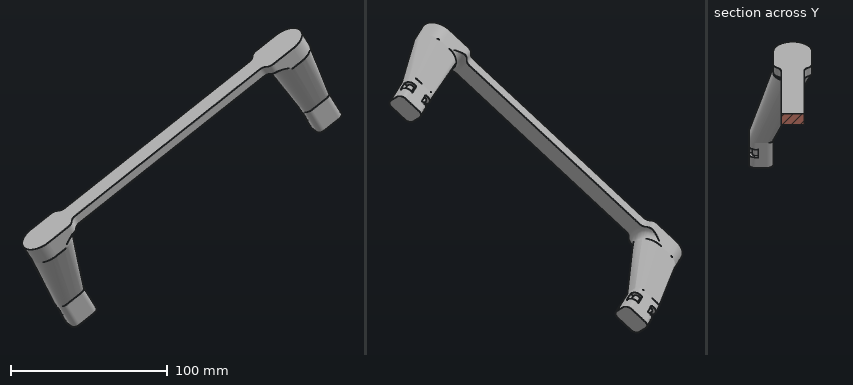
import cadquery as cq
import math

TILT = 30.0

LENGTH = 227.5
GRIP_WIDTH = 14.8
GRIP_THICKNESS = 6.3
HEAD_WIDTH = 25.0
SHOULDER_START = 29.0
NECK_ANGLE = 60.0

PAD_LENGTH = 31.3
PAD_BOTTOM = 11.8
PAD_FILLET = 5.5

TOTAL_WIDTH = 40.5
TOTAL_HEIGHT = 80.1
FOOT_WIDTH = 15.7
FOOT_LENGTH = 20.2
FOOT_HEIGHT = 18.3
FOOT_INSET = 2.4
FOOT_RADIUS = 4.2

GROOVE_HEIGHT = 5.9
GROOVE_DROP = 4.7
GROOVE_DEPTH = 2.4
GROOVE_REACH = 5.9

end_y = LENGTH / 2
head_radius = HEAD_WIDTH / 2
grip_half = GRIP_WIDTH / 2
pad_y = end_y - PAD_LENGTH / 2
foot_x = head_radius - TOTAL_WIDTH + FOOT_WIDTH / 2
foot_y = end_y - FOOT_INSET - FOOT_LENGTH / 2
foot_top = FOOT_HEIGHT - TOTAL_HEIGHT


def outline_prism():
    """Prism of the whole plate outline, with S-shaped necks between heads and grip."""
    sweep = math.radians(NECK_ANGLE)
    neck_radius = (head_radius - grip_half) / (2 * (1 - math.cos(sweep)))
    shoulder_y = end_y - SHOULDER_START
    arc_span = neck_radius * math.sin(sweep)
    mid_span = neck_radius * math.sin(sweep / 2)
    mid_drop = neck_radius * (1 - math.cos(sweep / 2))
    shoulder = (head_radius, shoulder_y)
    convex_mid = (head_radius - mid_drop, shoulder_y - mid_span)
    inflection = ((head_radius + grip_half) / 2, shoulder_y - arc_span)
    grip_start = (grip_half, shoulder_y - 2 * arc_span)
    concave_mid = (grip_half + mid_drop, grip_start[1] + mid_span)

    quarter = (
        cq.Workplane("XY")
        .moveTo(0, 0)
        .lineTo(grip_half, 0)
        .lineTo(*grip_start)
        .threePointArc(concave_mid, inflection)
        .threePointArc(convex_mid, shoulder)
        .lineTo(head_radius, end_y - head_radius)
        .radiusArc((0, end_y), -head_radius)
        .close()
        .extrude(-PAD_BOTTOM)
    )
    half = quarter.union(quarter.mirror("YZ"))
    return half.union(half.mirror("XZ")).clean()


def padded_plate(outline):
    """Plate with oval pads blended into its underside, trimmed to the outline."""
    slab = cq.Workplane("XY").rect(2 * TOTAL_WIDTH, 2 * LENGTH).extrude(-GRIP_THICKNESS)
    pads = (
        cq.Workplane("XY")
        .pushPoints([(0, pad_y), (0, -pad_y)])
        .slot2D(PAD_LENGTH, HEAD_WIDTH, 90)
        .extrude(-2 * PAD_BOTTOM)
    )
    pad_roots = cq.selectors.BoxSelector((-HEAD_WIDTH, -end_y, -PAD_BOTTOM), (HEAD_WIDTH, end_y, 0))
    return slab.union(pads).edges(pad_roots).fillet(PAD_FILLET).intersect(outline)


def leg():
    """Leg blending from the oval pad to the rounded foot at the +Y end."""
    pad_section = (
        cq.Sketch()
        .slot(PAD_LENGTH - HEAD_WIDTH, HEAD_WIDTH, angle=90)
        .moved(cq.Location(cq.Vector(0, pad_y, -PAD_BOTTOM)))
    )
    foot_section = (
        cq.Sketch()
        .rect(FOOT_WIDTH, FOOT_LENGTH)
        .vertices()
        .fillet(FOOT_RADIUS)
        .moved(cq.Location(cq.Vector(foot_x, foot_y, foot_top)))
    )
    return cq.Workplane("XY").placeSketch(pad_section, foot_section).loft()


def corner_groove(side):
    """Groove cut round one -X corner of the foot; side is +1 or -1 along Y."""
    size = 2 * GROOVE_REACH
    core_shift = GROOVE_DEPTH + GROOVE_REACH
    block = cq.Workplane("XY").rect(size, size).extrude(-GROOVE_HEIGHT)
    core = (
        cq.Workplane("XY")
        .center(core_shift, -side * core_shift)
        .rect(size, size)
        .extrude(-GROOVE_HEIGHT)
        .edges("|Z")
        .fillet(FOOT_RADIUS - GROOVE_DEPTH)
    )
    corner = (foot_x - FOOT_WIDTH / 2, foot_y + side * FOOT_LENGTH / 2, foot_top - GROOVE_DROP)
    return block.cut(core).translate(corner)


def foot():
    """Upright rounded block with grooved -X corners at the +Y end."""
    body = (
        cq.Workplane("XY", origin=(foot_x, foot_y, foot_top))
        .rect(FOOT_WIDTH, FOOT_LENGTH)
        .extrude(-FOOT_HEIGHT)
        .edges("|Z")
        .fillet(FOOT_RADIUS)
    )
    for side in (1, -1):
        body = body.cut(corner_groove(side))
    return body


handle = padded_plate(outline_prism())
leg_and_foot = leg().union(foot())
handle = handle.union(leg_and_foot).union(leg_and_foot.mirror("XZ"))
result = handle.rotate((0, 0, 0), (1, 0, 0), TILT)